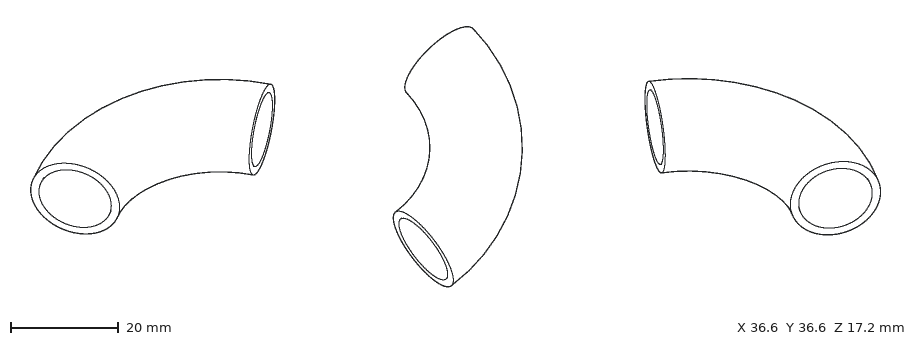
import cadquery as cq

overall_size = 36.6
outer_diameter = 17.2
wall_thickness = 1.6
bend_angle = 90.0

outer_radius = outer_diameter / 2
inner_radius = outer_radius - wall_thickness
bend_radius = overall_size - outer_radius

pipe_section = cq.Workplane("XZ").circle(outer_radius).circle(inner_radius)

bend_axis_start = (bend_radius, 0)
bend_axis_end = (bend_radius, -1)

result = pipe_section.revolve(bend_angle, bend_axis_start, bend_axis_end)